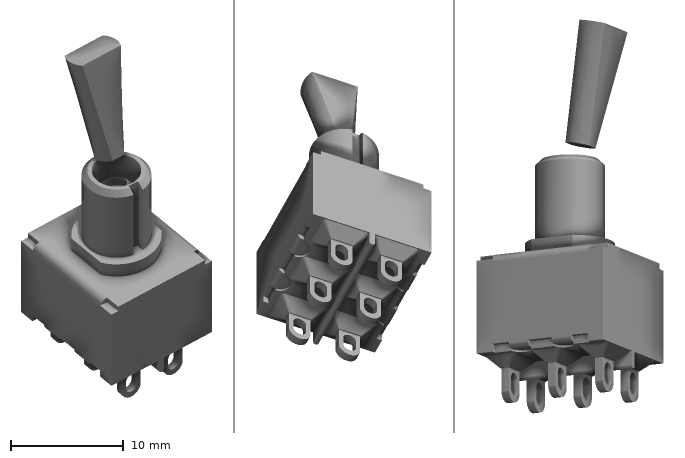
import cadquery as cq
import math


HOUSING_LENGTH = 12.7
HOUSING_WIDTH = 11.45
HOUSING_HEIGHT = 8.4
SEPARATOR_THICKNESS = 0.5
SEPARATOR_DROP = 1.53
MOUND_HEIGHT = 1.02
MOUND_BASE = (3.05, 4.5)
MOUND_BASE_CORNER = 0.3
MOUND_TIP = (0.95, 2.25)
MOUND_TIP_CORNER = 0.1

SHEET_THICKNESS = 0.5
BEND_RADIUS = 0.78
LEG_LENGTH = 9.53
LEG_BOTTOM = 0.7
TAB_WIDTH = 1.95
TAB_SPACING = 4.3
TAB_BEND_RADIUS = 0.4
FRAME_TOP = HOUSING_HEIGHT + SHEET_THICKNESS
LEG_OUTER_Y = HOUSING_WIDTH / 2
LEG_INNER_Y = LEG_OUTER_Y - SHEET_THICKNESS
BEND_START = LEG_OUTER_Y - BEND_RADIUS
INNER_BEND_RADIUS = BEND_RADIUS - SHEET_THICKNESS

FLANGE_DIAMETER = 8.0
FLANGE_ACROSS_FLATS = 6.88
FLANGE_HEIGHT = 1.43
FLANGE_TOP = FRAME_TOP + FLANGE_HEIGHT
BUSHING_DIAMETER = 6.2
BUSHING_HEIGHT = 7.6
BUSHING_TOP = FLANGE_TOP + BUSHING_HEIGHT
BUSHING_CHAMFER = 0.5
BORE_DIAMETER = 4.4
KEYWAY_WIDTH = 1.02
KEYWAY_FLOOR_X = 2.3

LEVER_TILT = 12.3
PIVOT_HEIGHT = 14.4
BALL_RADIUS = 2.08
SOCKET_RADIUS = 1.15
SOCKET_DEPTH = 0.85
SOCKET_POINT_DEPTH = 0.6
PADDLE_START = 4.95
PADDLE_LENGTH = 10.82
PADDLE_ROOT_DIAMETER = 2.72
PADDLE_ROOT_THICKNESS = 2.5
PADDLE_END_DIAMETER = 5.07
PADDLE_END_THICKNESS = 2.6

COLUMN_PITCH = 4.7
ROW_PITCH = 4.8
BLADE_THICKNESS = 0.75
BLADE_WIDTH = 2.05
BLADE_TIP = -3.98
BLADE_SHOULDER = -3.15
EYE_WIDTH = 1.23
EYE_HEIGHT = 2.05
EYE_CENTRE = -2.35

TERMINAL_SPOTS = [
    (column * COLUMN_PITCH, row * ROW_PITCH / 2)
    for column in (-1, 0, 1)
    for row in (-1, 1)
]


def bent_legs():
    """Both sheet legs of the frame with the bends that join them to the top plate."""
    bend_height = FRAME_TOP - BEND_RADIUS
    leg = (
        cq.Workplane("YZ", origin=(-LEG_LENGTH / 2, 0, 0))
        .moveTo(LEG_OUTER_Y, LEG_BOTTOM)
        .lineTo(LEG_OUTER_Y, bend_height)
        .radiusArc((BEND_START, FRAME_TOP), -BEND_RADIUS)
        .lineTo(BEND_START, HOUSING_HEIGHT)
        .radiusArc((LEG_INNER_Y, bend_height), INNER_BEND_RADIUS)
        .lineTo(LEG_INNER_Y, LEG_BOTTOM)
        .close()
        .extrude(LEG_LENGTH)
    )
    return leg.union(leg.mirror("XZ"))


def inward_tabs(bottom, top):
    """Round-ended tongues pointing inward from the legs, from bottom up to top."""
    tab_radius = TAB_WIDTH / 2
    tabs = cq.Workplane("XY")
    for x in (-TAB_SPACING / 2, TAB_SPACING / 2):
        tab = (
            cq.Workplane("XY", origin=(x, 0, bottom))
            .moveTo(-tab_radius, LEG_OUTER_Y)
            .lineTo(-tab_radius, LEG_INNER_Y)
            .threePointArc((0, LEG_INNER_Y - tab_radius), (tab_radius, LEG_INNER_Y))
            .lineTo(tab_radius, LEG_OUTER_Y)
            .close()
            .extrude(top - bottom)
        )
        tabs = tabs.add(tab).add(tab.mirror("XZ"))
    return tabs.combine()


def make_mound(x, y):
    """Tapered sealing mound that carries one terminal."""
    base = cq.Sketch().rect(*MOUND_BASE).vertices().fillet(MOUND_BASE_CORNER)
    tip = cq.Sketch().rect(*MOUND_TIP).vertices().fillet(MOUND_TIP_CORNER)
    return (
        cq.Workplane("XY", origin=(x, y, 0))
        .placeSketch(base, tip.moved(cq.Location(cq.Vector(0, 0, -MOUND_HEIGHT))))
        .loft(ruled=True)
    )


def make_housing():
    core = (
        cq.Workplane("XY")
        .box(LEG_LENGTH, 2 * LEG_INNER_Y, HOUSING_HEIGHT, centered=(True, True, False))
        .edges("|X and >Z")
        .fillet(INNER_BEND_RADIUS)
    )
    end_length = (HOUSING_LENGTH - LEG_LENGTH) / 2
    ends = (
        cq.Workplane("XY")
        .pushPoints([(side * (HOUSING_LENGTH - end_length) / 2, 0) for side in (-1, 1)])
        .rect(end_length, HOUSING_WIDTH)
        .extrude(HOUSING_HEIGHT)
    )
    block = core.union(ends).cut(inward_tabs(0, LEG_BOTTOM))
    separator_radius = SEPARATOR_THICKNESS / 2
    separator = (
        cq.Workplane("YZ", origin=(-HOUSING_LENGTH / 2, 0, 0))
        .moveTo(-separator_radius, 0)
        .lineTo(-separator_radius, separator_radius - SEPARATOR_DROP)
        .threePointArc((0, -SEPARATOR_DROP), (separator_radius, separator_radius - SEPARATOR_DROP))
        .lineTo(separator_radius, 0)
        .close()
        .extrude(HOUSING_LENGTH)
    )
    housing = block.union(separator)
    for x, y in TERMINAL_SPOTS:
        housing = housing.union(make_mound(x, y))
    return housing


def make_frame():
    plate = cq.Workplane("XY", origin=(0, 0, HOUSING_HEIGHT)).box(
        HOUSING_LENGTH, 2 * BEND_START, SHEET_THICKNESS, centered=(True, True, False)
    )
    tabs = inward_tabs(LEG_BOTTOM - SHEET_THICKNESS, LEG_BOTTOM)
    tabs = tabs.edges("|X").edges("<Z").edges(">Y or <Y").fillet(TAB_BEND_RADIUS)
    flange = (
        cq.Workplane("XY", origin=(0, 0, FRAME_TOP))
        .circle(FLANGE_DIAMETER / 2)
        .extrude(FLANGE_HEIGHT)
        .intersect(
            cq.Workplane("XY", origin=(0, 0, FRAME_TOP)).box(
                FLANGE_DIAMETER, FLANGE_ACROSS_FLATS, FLANGE_HEIGHT, centered=(True, True, False)
            )
        )
    )
    barrel = (
        cq.Workplane("XY", origin=(0, 0, FLANGE_TOP))
        .circle(BUSHING_DIAMETER / 2)
        .extrude(BUSHING_HEIGHT)
        .faces(">Z")
        .chamfer(BUSHING_CHAMFER)
    )
    keyway = cq.Workplane("XY", origin=(KEYWAY_FLOOR_X, 0, FLANGE_TOP)).box(
        BUSHING_DIAMETER, KEYWAY_WIDTH, BUSHING_HEIGHT, centered=(False, True, False)
    )
    bore_floor = PIVOT_HEIGHT - BALL_RADIUS
    bore = (
        cq.Workplane("XY", origin=(0, 0, bore_floor))
        .circle(BORE_DIAMETER / 2)
        .extrude(BUSHING_TOP - bore_floor)
    )
    sheet = plate.union(bent_legs()).union(tabs)
    return sheet.union(flange).union(barrel.cut(keyway)).cut(bore)


def tilt_lever(body):
    """Lean a body built upright on the Z axis about the pivot and lift it into place."""
    return body.rotate((0, 0, 0), (0, 1, 0), -LEVER_TILT).translate((0, 0, PIVOT_HEIGHT))


def make_ball():
    rim_height = math.sqrt(BALL_RADIUS**2 - SOCKET_RADIUS**2)
    socket = (
        cq.Workplane("XZ")
        .moveTo(0, rim_height - SOCKET_DEPTH - SOCKET_POINT_DEPTH)
        .lineTo(SOCKET_RADIUS, rim_height - SOCKET_DEPTH)
        .lineTo(SOCKET_RADIUS, BALL_RADIUS)
        .lineTo(0, BALL_RADIUS)
        .close()
        .revolve(360, (0, 0), (0, 1))
    )
    return tilt_lever(cq.Workplane("XY").sphere(BALL_RADIUS).cut(socket))


def flattened_circle(plane, diameter, thickness):
    """Circle outline cut by two flats that face along X."""
    radius = diameter / 2
    half = thickness / 2
    flat_end = math.sqrt(radius**2 - half**2)
    return (
        plane.moveTo(-half, -flat_end)
        .threePointArc((0, -radius), (half, -flat_end))
        .lineTo(half, flat_end)
        .threePointArc((0, radius), (-half, flat_end))
        .close()
    )


def make_paddle():
    root_plane = cq.Workplane("XY", origin=(0, 0, PADDLE_START))
    root = flattened_circle(root_plane, PADDLE_ROOT_DIAMETER, PADDLE_ROOT_THICKNESS)
    end_plane = root.workplane(offset=PADDLE_LENGTH)
    end = flattened_circle(end_plane, PADDLE_END_DIAMETER, PADDLE_END_THICKNESS)
    return tilt_lever(end.loft(ruled=True))


def make_terminal(x, y):
    """Flat solder blade with a rounded tip and a slotted eye."""
    half = BLADE_WIDTH / 2
    return (
        cq.Workplane("YZ", origin=(x - BLADE_THICKNESS / 2, y, 0))
        .moveTo(-half, -MOUND_HEIGHT)
        .lineTo(-half, BLADE_SHOULDER)
        .threePointArc((0, BLADE_TIP), (half, BLADE_SHOULDER))
        .lineTo(half, -MOUND_HEIGHT)
        .close()
        .moveTo(0, EYE_CENTRE)
        .slot2D(EYE_HEIGHT, EYE_WIDTH, 90)
        .extrude(BLADE_THICKNESS)
    )


housing = make_housing()
frame = make_frame()
ball = make_ball()
paddle = make_paddle()
terminals = [make_terminal(x, y) for x, y in TERMINAL_SPOTS]

result = cq.Compound.makeCompound(
    [
        housing.val(),
        frame.val(),
        ball.val(),
        paddle.val(),
        *[terminal.val() for terminal in terminals],
    ]
)